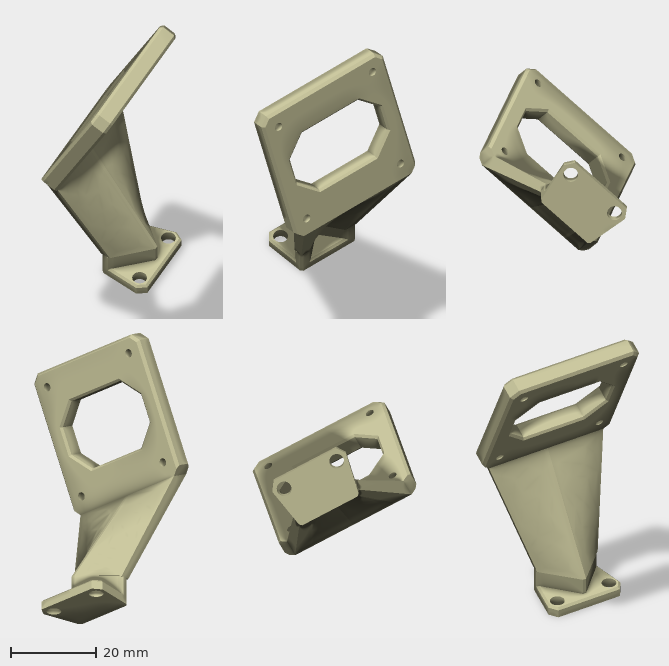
import cadquery as cq
import math

plate_size = 35.0
plate_thickness = 4.55
plate_tilt = 25
plate_corner = 2.0
edge_chamfer = 0.7
total_height = 66.7
screw_spacing = 27.0
screw_diameter = 2.0
window_width = 26.0
window_height = 16.7
window_corner = 4.95
window_chamfer = 0.55
selection_margin = 0.1

foot_front = 11.75
foot_back = 24.3
foot_thickness = 2.55
foot_chamfer = 0.55
foot_front_half = 7.35
foot_side_half = 7.95
foot_wide_half = 9.8
foot_wide_x = 22.15
foot_back_half = 8.35
foot_hole_spacing = 14.0
foot_hole_diameter = 3.5
foot_hole_x = 21.5

block_height = 6.7
wall_edge_x = 13.6
rib_start_x = 14.7
rib_start_half = 7.5
rib_ridge_half = 0.435
neck_edge_x = 14.15

hollow_half = 4.8
hollow_mouth_half = 5.6
hollow_top_half = 11.2
hollow_top_depth = 0.1
mouth_chamfer_top = 0.6

tilt = math.radians(plate_tilt)
plate_base_z = total_height - plate_size * math.cos(tilt) + edge_chamfer * math.sin(tilt)
corner_x = foot_front + foot_chamfer

side_slope = (foot_wide_half - foot_side_half) / (foot_wide_x - corner_x)
wall_edge_half = foot_side_half + side_slope * (wall_edge_x - corner_x)


def end_point(depth, y):
    """Point on the lower end of the plate, at a depth behind its front face."""
    return (depth * math.cos(tilt), y, plate_base_z - depth * math.sin(tilt))


def mirrored(half_outline):
    """Close a half outline (positive Y) with its mirror image."""
    return half_outline + [(x, -y) for x, y in reversed(half_outline)]


def ruled_solid(*rings):
    wires = [cq.Wire.makePolygon([cq.Vector(*p) for p in ring], close=True) for ring in rings]
    return cq.Workplane(obj=cq.Solid.makeLoft(wires, True))


def make_plate():
    plane = cq.Plane(
        origin=(0, 0, plate_base_z),
        xDir=(0, 1, 0),
        normal=(math.cos(tilt), 0, -math.sin(tilt)),
    )
    middle = plate_size / 2
    slab = cq.Workplane("XY").box(plate_size, plate_size, plate_thickness, centered=(True, True, False))
    slab = slab.edges("|Z").chamfer(plate_corner)
    keep_sharp = cq.selectors.BoxSelector(
        (-plate_size, -plate_size, -selection_margin),
        (plate_size, plate_corner - middle, plate_thickness + selection_margin),
    )
    slab = slab.newObject(
        [e for e in slab.faces("|Z").edges().vals() if e not in keep_sharp.filter([e])]
    ).chamfer(edge_chamfer)
    window = (
        cq.Workplane("XY")
        .box(window_width, window_height, plate_thickness, centered=(True, True, False))
        .edges("|Z")
        .chamfer(window_corner)
    )
    slab = slab.cut(window)
    rim = cq.selectors.BoxSelector(
        (-window_width / 2 - selection_margin, -window_height / 2 - selection_margin, -selection_margin),
        (
            window_width / 2 + selection_margin,
            window_height / 2 + selection_margin,
            plate_thickness + selection_margin,
        ),
    )
    slab = slab.faces("|Z").edges(rim).chamfer(window_chamfer)
    screws = (
        cq.Workplane("XY")
        .rect(screw_spacing, screw_spacing, forConstruction=True)
        .vertices()
        .circle(screw_diameter / 2)
        .extrude(plate_thickness)
    )
    slab = slab.cut(screws).translate((0, middle, 0))
    return cq.Workplane(obj=slab.val().moved(cq.Location(plane)))


def make_foot():
    outline = mirrored([
        (foot_front, foot_front_half),
        (corner_x, foot_side_half),
        (foot_wide_x, foot_wide_half),
        (foot_back, foot_back_half),
    ])
    foot = cq.Workplane("XY").polyline(outline).close().extrude(foot_thickness)
    return foot.faces(">Z").edges().chamfer(foot_chamfer)


def make_block():
    outline = mirrored([
        (foot_front, foot_front_half),
        (corner_x, foot_side_half),
        (wall_edge_x, wall_edge_half),
        (rib_start_x, rib_start_half),
        (foot_wide_x, rib_ridge_half),
    ])
    return cq.Workplane("XY").polyline(outline).close().extrude(block_height)


def make_neck():
    lower = mirrored([
        (foot_front, foot_side_half),
        (neck_edge_x, wall_edge_half),
        (foot_wide_x, rib_ridge_half),
    ])
    top_half = plate_size / 2 - plate_corner
    upper = mirrored([
        (0, top_half),
        (plate_thickness, top_half),
        (plate_thickness, rib_ridge_half),
    ])
    return ruled_solid(
        [(x, y, block_height) for x, y in lower],
        [end_point(depth, y) for depth, y in upper],
    )


def make_hollow():
    apex_x = corner_x + hollow_half
    pocket = (
        cq.Workplane("XY")
        .workplane(offset=foot_thickness)
        .polyline([(foot_front, hollow_half), (corner_x, hollow_half), (apex_x, 0),
                   (corner_x, -hollow_half), (foot_front, -hollow_half)])
        .close()
        .extrude(block_height - foot_thickness)
    )

    def mouth_ring(x, half, floor):
        return [(x, -half, floor), (x, half, floor), (x, half, block_height), (x, -half, block_height)]

    mouth = ruled_solid(
        mouth_ring(foot_front, hollow_mouth_half, foot_thickness - foot_chamfer),
        mouth_ring(corner_x, hollow_half, foot_thickness),
    )
    lower = [(foot_front, hollow_mouth_half), (corner_x, hollow_half), (apex_x, 0), (foot_front, -hollow_half)]
    upper = [
        (0, hollow_top_half),
        (hollow_top_depth / 2, hollow_top_half - mouth_chamfer_top),
        (hollow_top_depth, 0),
        (0, -hollow_top_half),
    ]
    channel = ruled_solid(
        [(x, y, block_height) for x, y in lower],
        [end_point(depth, y) for depth, y in upper],
    )
    return pocket.union(mouth).union(channel)


foot_holes = (
    cq.Workplane("XY")
    .pushPoints([(foot_hole_x, side * foot_hole_spacing / 2) for side in (-1, 1)])
    .circle(foot_hole_diameter / 2)
    .extrude(foot_thickness)
)

bracket = make_foot().union(make_block()).union(make_neck()).union(make_plate())
result = bracket.cut(make_hollow()).cut(foot_holes)